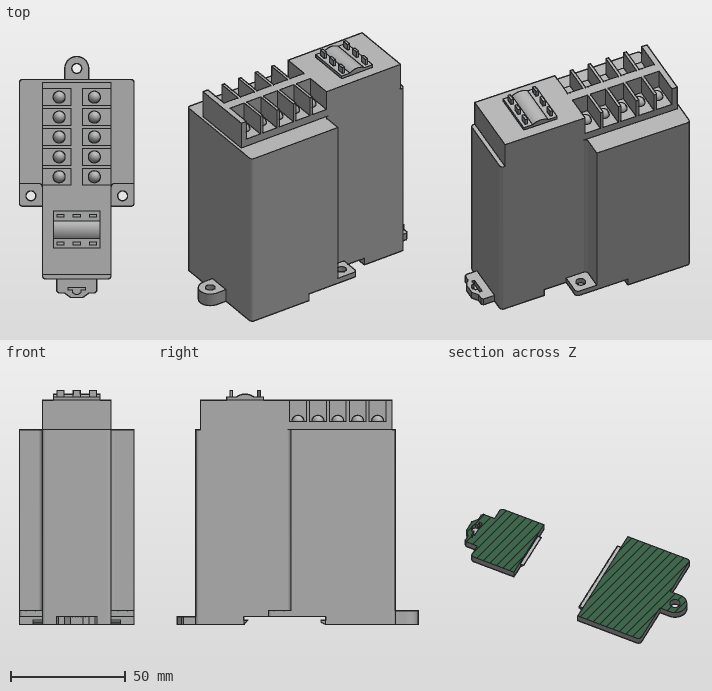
import cadquery as cq


overall_length = 105.0
overall_height = 102.0
wide_width = 50.0
narrow_width = 30.0
housing_depth = 86.9
wide_depth = 45.4
housing_height = 84.8
corner_radius = 1.5

block_height = 97.8
block_back_inset = 1.5
block_depth = 83.5

foot_height = 6.1
screw_hole_diameter = 4.2
ear_depth = 10.0
ear_hole_side_inset = 5.0
ear_hole_front_inset = 4.6
tab_width = 10.5
tab_length = 10.0

rail_start = 30.3
rail_width = 35.6
rail_depth = 3.5
hook_height = 2.0
hook_reach = 2.1
hook_lip = 0.9
hook_width = 38.0
latch_hook_reach = 1.7

latch_width = 17.4
latch_length = overall_length - tab_length - housing_depth
latch_chamfer = 0.8
latch_nose_length = 2.0
latch_nose_root = 10.7
latch_nose_tip = 5.2
arrow_offset = 3.7
arrow_depth = 2.3
arrow_width = 7.5
arrow_bar_length = 1.2
arrow_stem_width = 3.6
arrow_stem_length = 1.0
arrow_tip_width = 1.2
arrow_tip_length = 0.7

terminal_count = 5
terminal_span = 34.6
terminal_pitch = terminal_span / (terminal_count - 1)
terminal_length = 7.4
terminal_start = 4.1
terminal_depth = 9.2
terminal_divider = 4.8
terminal_screw_radius = 2.6
terminal_screw_x = 7.7

indicator_width = 20.4
indicator_depth = 16.2
indicator_y = -65.4
indicator_thickness = 1.4
bump_depth = 7.6
bump_height = 1.3
pin_width = 3.2
pin_thickness = 1.2
pin_pitch_x = 7.0
pin_pitch_y = 12.1


def box(width, y_back, y_front, z_low, z_high, x=0):
    """Box centred on x, reaching from y_back to y_front and from z_low to z_high."""
    return (
        cq.Workplane("XY", origin=(x, (y_back + y_front) / 2, z_low))
        .box(width, y_back - y_front, z_high - z_low, centered=(True, True, False))
    )


def make_housing():
    """T-shaped housing with rounded upright edges, and the block standing on it."""
    wide_half = wide_width / 2
    wide_part = (
        box(wide_width, 0, -wide_depth, 0, housing_height)
        .edges("|Z and >Y").fillet(corner_radius)
    )
    narrow_part = (
        box(narrow_width, 0, -housing_depth, 0, housing_height)
        .edges("|Z and <Y").fillet(corner_radius)
    )
    inner_corners = cq.selectors.BoxSelector(
        (-wide_half + corner_radius, -wide_depth - corner_radius, 0),
        (wide_half - corner_radius, -wide_depth + corner_radius, housing_height),
    )
    housing = wide_part.union(narrow_part).edges("|Z").edges(inner_corners).fillet(corner_radius)
    block_front = -block_back_inset - block_depth
    block = box(narrow_width, -block_back_inset, block_front, foot_height, block_height)
    return housing.union(block)


def make_feet():
    """Ears in front of the wide part, a round-ended tab at the back, and their screw holes."""
    ear_front = -wide_depth - ear_depth
    ears = (
        box(wide_width, -corner_radius, ear_front, 0, foot_height)
        .edges("|Z and <Y").fillet(corner_radius)
    )
    tab_radius = tab_width / 2
    tab_center_y = tab_length - tab_radius
    tab = (
        box(tab_width, tab_center_y, -corner_radius, 0, foot_height)
        .union(cq.Workplane("XY").center(0, tab_center_y).circle(tab_radius).extrude(foot_height))
    )
    ear_hole_x = wide_width / 2 - ear_hole_side_inset
    ear_hole_y = ear_front + ear_hole_front_inset
    hole_centers = [(0, tab_center_y), (-ear_hole_x, ear_hole_y), (ear_hole_x, ear_hole_y)]
    holes = (
        cq.Workplane("XY").pushPoints(hole_centers)
        .circle(screw_hole_diameter / 2).extrude(foot_height)
    )
    return ears.union(tab), holes


def make_rail_hooks():
    """Fixed hook on the back wall of the rail channel and latch hook on its front wall."""
    back = -rail_start
    front = -rail_start - rail_width
    fixed_outline = [
        (back, 0),
        (back, hook_height),
        (back - hook_reach, hook_height),
        (back - hook_reach, hook_height - hook_lip),
    ]
    latch_outline = [(front, 0), (front, hook_height), (front + latch_hook_reach, hook_height)]
    fixed_hook = cq.Workplane("YZ").polyline(fixed_outline).close().extrude(hook_width / 2, both=True)
    latch_hook = cq.Workplane("YZ").polyline(latch_outline).close().extrude(latch_width / 2, both=True)
    return fixed_hook, latch_hook


def mirrored_outline(right_side):
    """Closed outline from the points of its right half."""
    left_side = [(-x, y) for x, y in reversed(right_side)]
    return cq.Workplane("XY").polyline(right_side + left_side).close()


def make_latch():
    """Release latch that has a tapered nose and an arrow-shaped recess in its top."""
    root = -housing_depth
    tip = root - latch_length
    shoulder = tip + latch_nose_length
    half = latch_width / 2
    body = mirrored_outline([
        (half, root),
        (half, shoulder + latch_chamfer),
        (half - latch_chamfer, shoulder),
        (latch_nose_root / 2, shoulder),
        (latch_nose_tip / 2, tip),
    ]).extrude(rail_depth)
    bar_back = root - arrow_offset
    bar_front = bar_back - arrow_bar_length
    stem_front = bar_front - arrow_stem_length
    arrow_outline = mirrored_outline([
        (arrow_width / 2, bar_back),
        (arrow_width / 2, bar_front),
        (arrow_stem_width / 2, bar_front),
        (arrow_stem_width / 2, stem_front),
        (arrow_tip_width / 2, stem_front - arrow_tip_length),
    ])
    arrow = arrow_outline.extrude(arrow_depth).translate((0, 0, rail_depth - arrow_depth))
    return body.cut(arrow)


def add_terminals(body):
    """Two rows of open-sided terminal pockets, each with a domed screw on its floor."""
    floor = block_height - terminal_depth
    pocket_width = (narrow_width - terminal_divider) / 2
    pocket_x = (terminal_divider + pocket_width) / 2
    for index in range(terminal_count):
        back = -terminal_start - index * terminal_pitch
        front = back - terminal_length
        for side in (-1, 1):
            pocket = box(pocket_width, back, front, floor, block_height, side * pocket_x)
            screw = (
                cq.Workplane("XY", origin=(side * terminal_screw_x, (back + front) / 2, floor))
                .sphere(terminal_screw_radius)
            )
            body = body.cut(pocket).union(screw)
    return body


def make_indicator():
    """Raised plate with a cylindrical bump between two rows of pins."""
    half_depth = indicator_depth / 2
    plate_top = block_height + indicator_thickness
    plate = box(
        indicator_width, indicator_y + half_depth, indicator_y - half_depth, block_height, plate_top
    )
    bump = (
        cq.Workplane("YZ", origin=(0, indicator_y, plate_top))
        .moveTo(-bump_depth / 2, 0)
        .threePointArc((0, bump_height), (bump_depth / 2, 0))
        .close()
        .extrude(indicator_width / 2, both=True)
    )
    indicator = plate.union(bump)
    for column in (-1, 0, 1):
        for row in (-1, 1):
            pin_y = indicator_y + row * pin_pitch_y / 2
            pin = box(
                pin_width,
                pin_y + pin_thickness / 2,
                pin_y - pin_thickness / 2,
                block_height,
                overall_height,
                column * pin_pitch_x,
            )
            indicator = indicator.union(pin)
    return indicator


feet, foot_holes = make_feet()
fixed_hook, latch_hook = make_rail_hooks()
rail_channel = box(wide_width, -rail_start, -rail_start - rail_width, 0, rail_depth)

result = make_housing().union(feet).cut(foot_holes).cut(rail_channel)
result = result.union(fixed_hook).union(latch_hook).union(make_latch())
result = add_terminals(result).union(make_indicator())